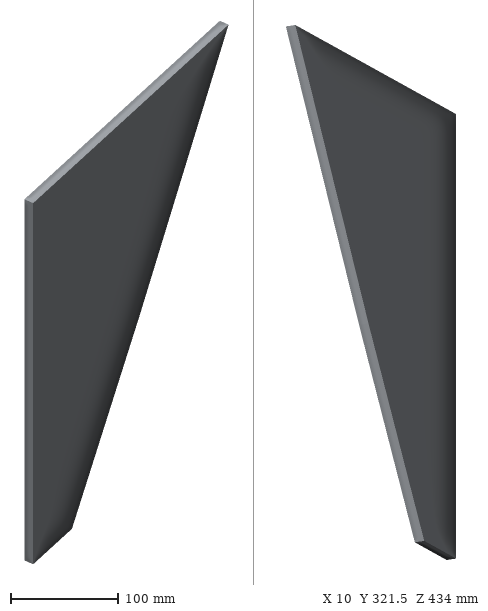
import cadquery as cq

thickness = 10.0
height = 434.0
top_width = 321.5
bottom_width = 64.0

bend_height = 182.5
bend_width = 175.5

outline = [
    (0, 0),
    (bottom_width, 0),
    (bend_width, bend_height),
    (top_width, height),
    (0, height),
]

result = cq.Workplane("YZ").polyline(outline).close().extrude(thickness)